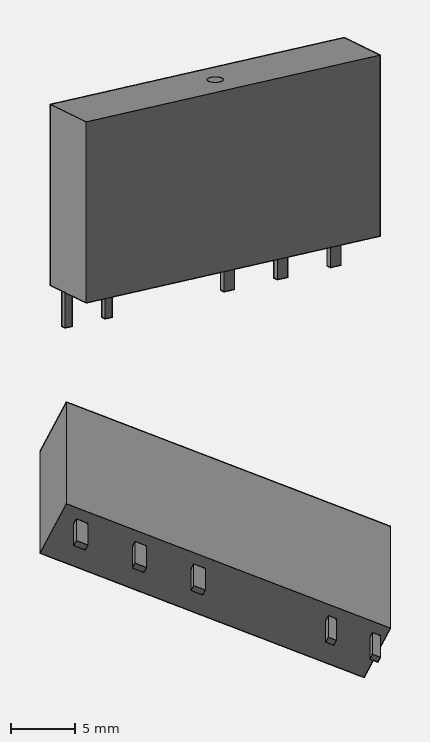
import cadquery as cq

housing_width = 5.0
housing_length = 27.8
housing_height = 15.0

marker_diameter = 1.28
marker_depth = 0.5

pin_drop = 3.2
pin_thickness = 0.5
pin_row_x = 1.2
wide_pin_width = 1.0
narrow_pin_width = 0.7

wide_pin_count = 3
wide_pin_pitch = 5.03
wide_pin_end_gap = 1.78
first_wide_pin_y = housing_length - wide_pin_end_gap
wide_pin_positions = [first_wide_pin_y - i * wide_pin_pitch for i in range(wide_pin_count)]

narrow_pin_count = 2
narrow_pin_pitch = 3.78
narrow_pin_end_gap = 0.78
narrow_pin_positions = [narrow_pin_end_gap + i * narrow_pin_pitch for i in range(narrow_pin_count)]


def make_marker():
    """Flat disc whose upper face is level with the housing top."""
    return (
        cq.Workplane("XY", origin=(housing_width / 2, housing_length / 2, housing_height))
        .circle(marker_diameter / 2)
        .extrude(-marker_depth)
    )


def make_housing(marker):
    """Plain block with a recess that fits the marker."""
    block = cq.Workplane("XY").box(
        housing_width, housing_length, housing_height, centered=False
    )
    return block.cut(marker)


def make_pin(width, y):
    """Flat pin of the given width along Y, butting against the housing underside."""
    return (
        cq.Workplane("XY", origin=(pin_row_x, y, 0))
        .rect(pin_thickness, width)
        .extrude(-pin_drop)
    )


marker = make_marker()
housing = make_housing(marker)
wide_pins = [make_pin(wide_pin_width, y).val() for y in wide_pin_positions]
narrow_pins = [make_pin(narrow_pin_width, y).val() for y in narrow_pin_positions]

result = cq.Compound.makeCompound([housing.val(), marker.val(), *wide_pins, *narrow_pins])